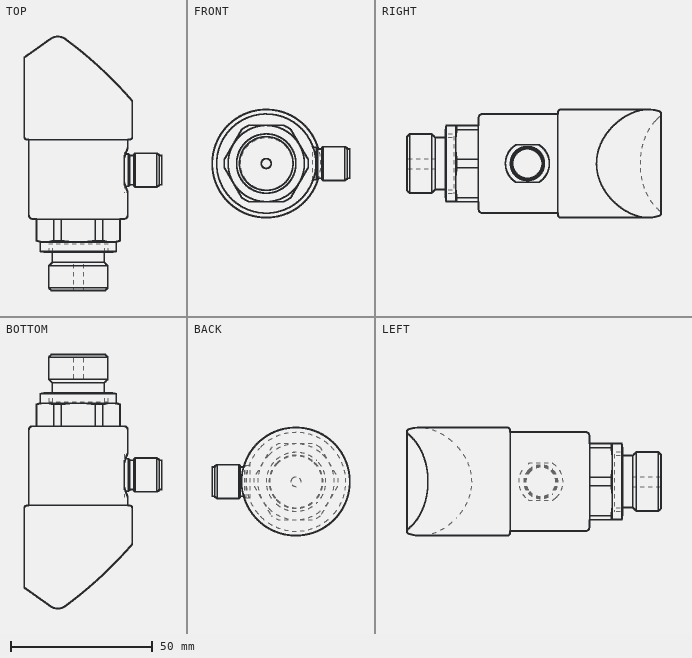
import cadquery as cq
import math


THREAD_CHAMFER = 1.0
THREAD_END = 8.7
NECK_START = 10.0
FLANGE_START = 13.6
FLANGE_RIM = 13.85
HEX_START = 17.15
BODY_START = 25.25
HEAD_START = 53.25
LENGTH = 89.65

THREAD_DIA = 20.95
NECK_DIA = 18.4
FLANGE_DIA = 26.9
BODY_DIA = 35.0
HEAD_DIA = 38.2
BODY_FILLET = 1.4
HEAD_FILLET = 1.0

SEAL_FACE_DIA = 23.9
RECESS_DIA = 20.9
RECESS_DEPTH = 3.0
PORT_DIA = 3.5
PORT_DEPTH = 10.0

HEX_FLATS = 27.0
HEX_CORNER_DIA = 29.6
HEX_CHAMFER_HEIGHT = 0.5

ROOF_BACK_Y = 82.2
ROOF_FRONT_Y = 66.85
RIDGE_X = -7.2
RIDGE_RADIUS = 4.4
BACK_SLOPE = 35.4
DISPLAY_RADIUS = 145.0

CONNECTOR_Y = 42.5
SPOTFACE_DIA = 15.5
SPOTFACE_X = 16.2
COLLAR_DIA = 11.5
COLLAR_END = 17.6
GROOVE_DIA = 10.4
GROOVE_START = 18.2
GROOVE_END = 19.55
PLUG_DIA = 12.0
PLUG_CHAMFER = 0.5
PLUG_CHAMFER_END = 28.5
PLUG_CHAMFER_LENGTH = 0.85
CONNECTOR_END = 48.6 - HEAD_DIA / 2


def along_y(dia, start, end):
    """Cylinder on the main axis between two Y positions."""
    plane = cq.Workplane("XZ", origin=(0, start, 0))
    return plane.circle(dia / 2).extrude(start - end)


def fitting():
    """Threaded end, neck and flange, turned as one profile."""
    thread_r = THREAD_DIA / 2
    neck_r = NECK_DIA / 2
    flange_r = FLANGE_DIA / 2
    recess_r = RECESS_DIA / 2
    recess_floor = FLANGE_START + RECESS_DEPTH
    profile = cq.Workplane("XY").polyline([
        (0, 0),
        (thread_r - THREAD_CHAMFER, 0),
        (thread_r, THREAD_CHAMFER),
        (thread_r, THREAD_END),
        (neck_r, NECK_START),
        (neck_r, recess_floor),
        (recess_r, recess_floor),
        (recess_r, FLANGE_START),
        (SEAL_FACE_DIA / 2, FLANGE_START),
        (flange_r, FLANGE_RIM),
        (flange_r, HEX_START),
        (0, HEX_START),
    ]).close()
    turned = profile.revolve(360, (0, 0, 0), (0, 1, 0))
    return turned.cut(along_y(PORT_DIA, 0, PORT_DEPTH))


def hexagon():
    """Wrench hexagon with turned-down corners and a chamfer towards the flange."""
    across_corners = HEX_FLATS / math.cos(math.radians(30))
    plane = cq.Workplane("XZ", origin=(0, HEX_START, 0))
    prism = plane.polygon(6, across_corners).extrude(HEX_START - BODY_START)
    corner_r = HEX_CORNER_DIA / 2
    blank = cq.Workplane("XY").polyline([
        (0, HEX_START),
        (FLANGE_DIA / 2, HEX_START),
        (corner_r, HEX_START + HEX_CHAMFER_HEIGHT),
        (corner_r, BODY_START),
        (0, BODY_START),
    ]).close().revolve(360, (0, 0, 0), (0, 1, 0))
    return prism.intersect(blank)


def body():
    """Round housing with a spotface for the connector."""
    housing = along_y(BODY_DIA, BODY_START, HEAD_START).faces("<Y").edges().fillet(BODY_FILLET)
    spotface = cq.Workplane("YZ", origin=(SPOTFACE_X, CONNECTOR_Y, 0))
    return housing.cut(spotface.circle(SPOTFACE_DIA / 2).extrude(BODY_DIA))


def head():
    """Display head under the two-sided roof."""
    radius = HEAD_DIA / 2
    cylinder = along_y(HEAD_DIA, HEAD_START, LENGTH + RIDGE_RADIUS)
    cylinder = cylinder.faces("<Y").edges().fillet(HEAD_FILLET)

    ridge_y = ROOF_BACK_Y + (RIDGE_X + radius) * math.tan(math.radians(BACK_SLOPE))
    run = radius - RIDGE_X
    drop = ridge_y - ROOF_FRONT_Y
    chord = math.hypot(run, drop)
    bulge = DISPLAY_RADIUS - math.sqrt(DISPLAY_RADIUS**2 - (chord / 2)**2)
    display_middle = (
        (RIDGE_X + radius) / 2 + bulge * drop / chord,
        (ridge_y + ROOF_FRONT_Y) / 2 + bulge * run / chord,
    )
    roof = (
        cq.Workplane("XY")
        .moveTo(-radius, HEAD_START)
        .lineTo(-radius, ROOF_BACK_Y)
        .lineTo(RIDGE_X, ridge_y)
        .threePointArc(display_middle, (radius, ROOF_FRONT_Y))
        .lineTo(radius, HEAD_START)
        .close()
        .extrude(radius, both=True)
    )
    roof = roof.edges("|Z").edges(">Y").fillet(RIDGE_RADIUS)
    return cylinder.intersect(roof)


def connector():
    """Plug connector, turned about an axis parallel to X."""
    collar_r = COLLAR_DIA / 2
    groove_r = GROOVE_DIA / 2
    plug_r = PLUG_DIA / 2
    chamfer_r = plug_r - PLUG_CHAMFER
    profile = cq.Workplane("XY", origin=(0, CONNECTOR_Y, 0)).polyline([
        (0, 0),
        (0, collar_r),
        (COLLAR_END, collar_r),
        (GROOVE_START, groove_r),
        (GROOVE_END, groove_r),
        (GROOVE_END, chamfer_r),
        (GROOVE_END + PLUG_CHAMFER, plug_r),
        (PLUG_CHAMFER_END - PLUG_CHAMFER_LENGTH, plug_r),
        (PLUG_CHAMFER_END, chamfer_r),
        (PLUG_CHAMFER_END, groove_r),
        (CONNECTOR_END, groove_r),
        (CONNECTOR_END, 0),
    ]).close()
    return profile.revolve(360, (0, 0, 0), (1, 0, 0))


result = fitting().union(hexagon()).union(body()).union(head()).union(connector())